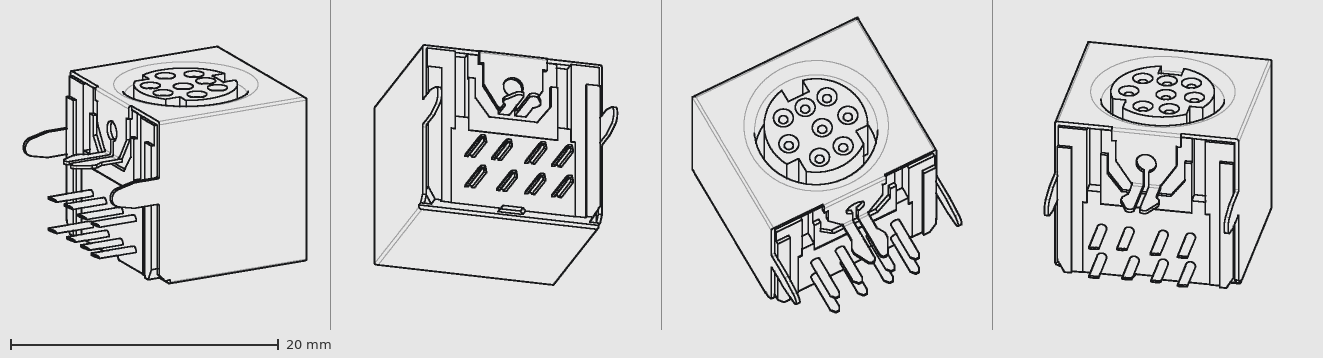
import cadquery as cq
import math


width = 14.0
height = 12.9
back_y = 6.5
shell_front_y = -6.0
tip_y = -10.0
sheet = 0.3
cap_sheet = 0.33
edge_radius = 0.2

bottom_front_y = -5.07
side_corner = 0.5

core_half = width / 2 - sheet
core_bottom = cap_sheet
core_top = height - cap_sheet
core_front_y = -6.25
core_back_y = 0.0
core_corner_x = 0.53
core_corner_z = 0.95
rib_width = 1.05
rib_top = 11.0
rib_front_y = -6.5
notch_half_bottom = 0.97
notch_half_top = 0.78
notch_height = 0.25
notch_back_y = -5.5

pin_face_y = -6.2
pin_face_half = 4.83
pin_face_top = 6.33
frame_half = 3.47
frame_top = 10.57
slot_outer = 4.51
slot_bottom = 7.35
slot_depth = 1.0
panel_y = -5.95
panel_half = 2.95
panel_corner_z = 9.0
panel_foot_half = 1.87
panel_foot_z = 7.58

bore_radius = 4.6
rim_radius = 0.8
bore_depth = 5.0
plug_radius = 3.87
key_half = 0.88
key_y = 2.72
shoulder_half = 2.43
shoulder_y = -1.8
contact_mouth_radius = 0.74
contact_radius = 0.33
contact_cone_depth = 0.3
contact_depth = 4.0
contact_rows = [
    (1.7, (-1.85, 0.0, 1.85)),
    (-0.38, (-2.5, 0.33, 2.5)),
    (-2.45, (-1.0, 1.0)),
]

pin_radius = 0.375
pin_bore_radius = 0.15
pin_tip_y = -9.75
pin_tip_half = 0.15
pin_tip_length = 0.43
pin_tip_bevel = 0.2
short_pin_tip_y = -9.5
pin_rows = [
    (4.2, ((-3.38, pin_tip_y), (-1.3, short_pin_tip_y), (1.3, pin_tip_y), (3.38, pin_tip_y))),
    (1.74, ((-3.38, pin_tip_y), (-0.9, short_pin_tip_y), (1.3, short_pin_tip_y), (3.38, pin_tip_y))),
]

lug_z = 7.45
lug_half = 1.0
lug_straight_y = -8.1
lug_nose_radius = 0.7
lug_root_radius = 0.15

spring_bend = 0.2
tongue_sheet = 0.25
spring_front_y = core_front_y
spring_root_half = 2.63
spring_root_z = 11.87
spring_half = 2.3
spring_waist_z = 10.16
spring_hole_z = 10.19
spring_hole_radius = 0.76
spring_split_half = 0.22
tongue_outer = 1.07
tongue_top = 8.28
tongue_bend = 0.15
tongue_straight_y = -7.7
tongue_bulge = 1.42
tongue_bulge_ys = (-8.3, -8.7)
tongue_nose_outer = 0.89
tongue_nose_y = -9.75


def box(x0, x1, y0, y1, z0, z1):
    return cq.Workplane("XY").box(x1 - x0, y1 - y0, z1 - z0, centered=False).translate((x0, y0, z0))


def front_prism(points, y0, y1):
    """Outline in (x, z) extruded from y0 back to y1."""
    return cq.Workplane("XZ", origin=(0, y1, 0)).polyline(points).close().extrude(y1 - y0)


def both_sides(solid):
    """The solid together with its mirror image across X = 0."""
    return solid.union(solid.mirror("YZ"))


def make_shell():
    shell = box(-width / 2, width / 2, shell_front_y, back_y, 0, height).edges("|Y").fillet(edge_radius)
    rounded_back = box(-width / 2, width / 2, shell_front_y, back_y, 0, height)
    rounded_back = rounded_back.edges("|X and >Y").fillet(edge_radius)
    shell = shell.intersect(rounded_back)
    shell = shell.cut(box(-width / 2, width / 2, shell_front_y, bottom_front_y, 0, core_bottom))
    corner = (
        cq.Workplane("YZ", origin=(core_half, 0, 0))
        .moveTo(shell_front_y, core_bottom)
        .lineTo(shell_front_y + side_corner, core_bottom)
        .lineTo(shell_front_y, core_bottom + side_corner)
        .close()
        .extrude(sheet)
    )
    return shell.cut(both_sides(corner))


def make_core():
    core = box(-core_half, core_half, core_front_y, core_back_y, core_bottom, core_top)
    rib = box(core_half - rib_width, core_half, rib_front_y, core_front_y, core_bottom, rib_top)
    return core.union(both_sides(rib))


def cut_front(body):
    corner = front_prism(
        [
            (core_half, core_bottom),
            (core_half, core_bottom + core_corner_z),
            (core_half - core_corner_x, core_bottom),
        ],
        rib_front_y, shell_front_y + side_corner,
    )
    pin_face = box(
        -pin_face_half, pin_face_half, core_front_y, pin_face_y, core_bottom, pin_face_top)
    slot_foot = box(frame_half, slot_outer, core_front_y, pin_face_y, pin_face_top, slot_bottom)
    slot = box(frame_half, slot_outer, core_front_y, core_front_y + slot_depth, slot_bottom, core_top)
    panel = front_prism(
        [
            (-panel_foot_half, panel_foot_z),
            (panel_foot_half, panel_foot_z),
            (panel_half, panel_corner_z),
            (panel_half, core_top),
            (-panel_half, core_top),
            (-panel_half, panel_corner_z),
        ],
        core_front_y, panel_y,
    )
    frame_head = box(panel_half, frame_half, core_front_y, panel_y, frame_top, core_top)
    notch = front_prism(
        [
            (-notch_half_bottom, core_bottom),
            (notch_half_bottom, core_bottom),
            (notch_half_top, core_bottom + notch_height),
            (-notch_half_top, core_bottom + notch_height),
        ],
        core_front_y, notch_back_y,
    )
    for side_cut in (corner, slot_foot, slot, frame_head):
        body = body.cut(both_sides(side_cut))
    return body.cut(pin_face).cut(panel).cut(notch)


def cut_bore(body):
    floor_z = height - bore_depth
    bore = cq.Workplane("XY", origin=(0, 0, floor_z)).circle(bore_radius).extrude(bore_depth)
    body = body.cut(bore)
    return body.faces(">Z").edges("%CIRCLE").fillet(rim_radius)


def make_plug():
    """Keyed plug standing in the bore, with a countersunk hole for each contact."""
    floor_z = height - bore_depth
    plug = cq.Workplane("XY", origin=(0, 0, floor_z)).circle(plug_radius).extrude(bore_depth)
    plug = plug.cut(box(-key_half, key_half, key_y, plug_radius, floor_z, height))
    shoulder = box(shoulder_half, plug_radius, -plug_radius, shoulder_y, floor_z, height)
    plug = plug.cut(both_sides(shoulder))
    contact = (
        cq.Workplane("XZ")
        .moveTo(0, height)
        .lineTo(contact_mouth_radius, height)
        .lineTo(contact_radius, height - contact_cone_depth)
        .lineTo(contact_radius, height - contact_depth)
        .lineTo(0, height - contact_depth)
        .close()
        .revolve(360, (0, 0, 0), (0, 1, 0))
    )
    for y, xs in contact_rows:
        for x in xs:
            plug = plug.cut(contact.translate((x, y, 0)))
    return plug


def make_pin(x, flat_z, end_y):
    """Half-round channel along Y, tapered at the sides and bevelled underneath at its tip."""
    root_y = pin_face_y + sheet
    length = root_y - end_y
    pin = (
        cq.Workplane("XZ", origin=(0, root_y, 0))
        .moveTo(pin_bore_radius, 0)
        .lineTo(pin_radius, 0)
        .threePointArc((0, pin_radius), (-pin_radius, 0))
        .lineTo(-pin_bore_radius, 0)
        .threePointArc((0, pin_bore_radius), (pin_bore_radius, 0))
        .close()
        .extrude(length)
    )
    bevel = (
        cq.Workplane("YZ", origin=(-pin_radius, 0, 0))
        .moveTo(end_y, 0)
        .lineTo(end_y + pin_tip_length, 0)
        .lineTo(end_y, pin_tip_bevel)
        .close()
        .extrude(2 * pin_radius)
    )
    side_taper = (
        cq.Workplane("XY")
        .moveTo(pin_radius, end_y)
        .lineTo(pin_radius, end_y + pin_tip_length)
        .lineTo(pin_tip_half, end_y)
        .close()
        .extrude(pin_radius)
    )
    return pin.cut(bevel).cut(both_sides(side_taper)).translate((x, 0, flat_z))


def make_lug():
    nose_y = tip_y + lug_nose_radius
    run = lug_straight_y - nose_y
    angle = math.atan2(lug_half, run) + math.acos(lug_nose_radius / math.hypot(run, lug_half))
    tangent_y = nose_y + lug_nose_radius * math.cos(angle)
    tangent_z = lug_nose_radius * math.sin(angle)
    flare_y = shell_front_y - lug_root_radius
    flare_half = lug_half + lug_root_radius
    return (
        cq.Workplane("YZ", origin=(core_half, 0, lug_z))
        .moveTo(shell_front_y + sheet, flare_half)
        .lineTo(shell_front_y, flare_half)
        .radiusArc((flare_y, lug_half), lug_root_radius)
        .lineTo(lug_straight_y, lug_half)
        .lineTo(tangent_y, tangent_z)
        .threePointArc((tip_y, 0), (tangent_y, -tangent_z))
        .lineTo(lug_straight_y, -lug_half)
        .lineTo(flare_y, -lug_half)
        .radiusArc((shell_front_y, -flare_half), lug_root_radius)
        .lineTo(shell_front_y + sheet, -flare_half)
        .close()
        .extrude(sheet)
    )


def make_tongue():
    """One of the two prongs bent forward from the foot of the spring plate."""
    nose_mid = (tongue_nose_outer + spring_split_half) / 2
    tongue = (
        cq.Workplane("XY", origin=(0, 0, tongue_top - tongue_sheet))
        .moveTo(spring_split_half, panel_y)
        .lineTo(tongue_outer, panel_y)
        .lineTo(tongue_outer, tongue_straight_y)
        .lineTo(tongue_bulge, tongue_bulge_ys[0])
        .lineTo(tongue_bulge, tongue_bulge_ys[1])
        .lineTo(tongue_nose_outer, tongue_nose_y)
        .threePointArc((nose_mid, tip_y), (spring_split_half, tongue_nose_y))
        .close()
        .extrude(tongue_sheet)
    )
    bend = (
        cq.Workplane("YZ", origin=(spring_split_half, 0, 0))
        .moveTo(spring_front_y, tongue_top)
        .lineTo(spring_front_y - tongue_bend, tongue_top)
        .radiusArc((spring_front_y, tongue_top + tongue_bend), -tongue_bend)
        .close()
        .extrude(tongue_outer - spring_split_half)
    )
    return tongue.union(bend)


def make_spring():
    plate_bottom = tongue_top - tongue_sheet
    half = [
        (spring_root_half, height),
        (spring_root_half, spring_root_z),
        (spring_half, spring_root_z),
        (spring_half, spring_waist_z),
        (tongue_outer, tongue_top),
        (tongue_outer, plate_bottom),
    ]
    outline = half + [(-x, z) for x, z in reversed(half)]
    spring = front_prism(outline, spring_front_y, panel_y)
    spring = spring.edges("|X and >Z and <Y").fillet(spring_bend)
    hole = (
        cq.Workplane("XZ", origin=(0, panel_y, spring_hole_z))
        .circle(spring_hole_radius)
        .extrude(panel_y - spring_front_y)
    )
    split = box(
        -spring_split_half, spring_split_half, spring_front_y, panel_y, plate_bottom, spring_hole_z)
    return spring.cut(hole).cut(split).union(both_sides(make_tongue()))


body = make_shell().union(make_core())
body = cut_front(body)
body = cut_bore(body)
body = body.union(make_plug())
body = body.union(both_sides(make_lug()))
body = body.union(make_spring())
for flat_z, pins in pin_rows:
    for pin_x, pin_end_y in pins:
        body = body.union(make_pin(pin_x, flat_z, pin_end_y))

result = body